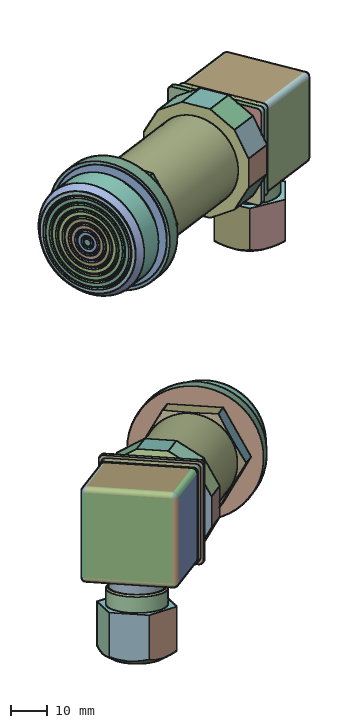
import cadquery as cq
import math

total_length = 98.0

lip_length = 0.3
lip_diameter = 30.1
body_start = 2.2
body_end = 9.9
body_diameter = 33.2
neck_end = 11.9
neck_diameter = 29.5
flange_end = 16.1
flange_diameter = 38.0
seal_diameter = 36.0
seal_depth = 0.2

groove_count = 7
groove_width = 0.9
groove_depth = 0.3
first_groove_radius = 1.1
last_groove_radius = 13.0
groove_pitch = (last_groove_radius - first_groove_radius) / (groove_count - 1)

hex_end = 22.6
hex_across_flats = 26.95
hex_end_diameter = 26.8
hex_chamfer_angle = 15.0

tube_diameter = 26.5
nut_start = 58.9
nut_end = 68.9
nut_across_flats = 32.9
nut_sides = 12

gasket_end = 70.7
gasket_side = 29.2
gasket_corner = 1.3
base_end = 73.9
base_side = 27.7
housing_side = 27.1
housing_corner = 1.5

gland_y = 88.0
gland_neck_diameter = 15.5
gland_collar_diameter = 17.0
gland_collar_top = -16.6
gland_collar_chamfer = 0.5
gland_nut_top = -21.6
gland_nut_bottom = -36.5
gland_nut_across_flats = 19.3
gland_nut_end_diameter = 14.1
gland_nut_chamfer_angle = 30.0


def corner_diameter(across_flats, sides):
    """Diameter of the circle through the corners of a regular polygon."""
    return across_flats / math.cos(math.pi / sides)


def section_plane(y):
    """Plane across the sensor axis: local x is X, local y is Z, extrusion runs to +Y."""
    return cq.Workplane(cq.Plane(origin=(0, y, 0), xDir=(-1, 0, 0), normal=(0, 1, 0)))


def disc(start, end, diameter):
    return section_plane(start).circle(diameter / 2).extrude(end - start)


def square_plate(start, end, side, corner):
    return section_plane(start).rect(side, side).extrude(end - start).edges("|Y").fillet(corner)


def chamfered_hexagon(base, length, across_flats, end_diameter, angle):
    """Hexagon with its far end turned to a cone; two of its corners lie on local x."""
    corner_radius = corner_diameter(across_flats, 6) / 2
    cone_length = (corner_radius - end_diameter / 2) * math.tan(math.radians(angle))
    blank = base.polygon(6, 2 * corner_radius).extrude(length)
    shank = base.circle(corner_radius).extrude(length - cone_length)
    cone = base.workplane(offset=length).circle(end_diameter / 2).extrude(-cone_length, taper=angle - 90)
    return blank.intersect(shank.union(cone))


def sensor_head():
    """Turned diaphragm body, neck and flange with a shallow seal seat, as one revolved outline."""
    seat_floor = neck_end + seal_depth
    return (
        cq.Workplane("XY")
        .moveTo(0, 0)
        .lineTo(lip_diameter / 2, 0)
        .lineTo(lip_diameter / 2, lip_length)
        .lineTo(body_diameter / 2, body_start)
        .lineTo(body_diameter / 2, body_end)
        .lineTo(neck_diameter / 2, body_end)
        .lineTo(neck_diameter / 2, seat_floor)
        .lineTo(seal_diameter / 2, seat_floor)
        .lineTo(seal_diameter / 2, neck_end)
        .lineTo(flange_diameter / 2, neck_end)
        .lineTo(flange_diameter / 2, flange_end)
        .lineTo(0, flange_end)
        .close()
        .revolve(360, (0, 0, 0), (0, 1, 0))
    )


def diaphragm_groove(inner_radius):
    """Ring-shaped cutter with a V section, open at the diaphragm face."""
    return (
        cq.Workplane("XY")
        .moveTo(inner_radius, 0)
        .lineTo(inner_radius + groove_width / 2, groove_depth)
        .lineTo(inner_radius + groove_width, 0)
        .close()
        .revolve(360, (0, 0, 0), (0, 1, 0))
    )


def sensor_hexagon():
    """Hexagon behind the flange, chamfered where it meets the tube."""
    return chamfered_hexagon(
        section_plane(flange_end),
        hex_end - flange_end,
        hex_across_flats,
        hex_end_diameter,
        hex_chamfer_angle,
    )


def union_nut():
    """Twelve-sided nut turned half a side so that flats face X and Z."""
    nut = section_plane(nut_start).polygon(nut_sides, corner_diameter(nut_across_flats, nut_sides))
    half_side_angle = 180 / nut_sides
    return nut.extrude(nut_end - nut_start).rotate((0, 0, 0), (0, 1, 0), half_side_angle)


def connector():
    gasket = square_plate(nut_end, gasket_end, gasket_side, gasket_corner)
    base = square_plate(gasket_end, base_end, base_side, housing_corner)
    housing = square_plate(base_end, total_length, housing_side, housing_corner)
    housing = housing.faces(">Y").edges().fillet(housing_corner)
    return gasket.union(base).union(housing)


def cable_gland():
    """Stepped stem and chamfered hexagon, built downwards from the sensor axis."""

    def below(z):
        return cq.Workplane(cq.Plane(origin=(0, gland_y, z), xDir=(1, 0, 0), normal=(0, 0, -1)))

    neck = below(0).circle(gland_neck_diameter / 2).extrude(-gland_collar_top)
    collar = below(gland_collar_top).circle(gland_collar_diameter / 2).extrude(gland_collar_top - gland_nut_top)
    collar = collar.faces(">Z").chamfer(gland_collar_chamfer)
    nut = chamfered_hexagon(
        below(gland_nut_top),
        gland_nut_top - gland_nut_bottom,
        gland_nut_across_flats,
        gland_nut_end_diameter,
        gland_nut_chamfer_angle,
    )
    return neck.union(collar).union(nut)


result = sensor_head().union(sensor_hexagon()).union(disc(hex_end, nut_start, tube_diameter))
result = result.union(union_nut()).union(connector()).union(cable_gland())
for index in range(groove_count):
    result = result.cut(diaphragm_groove(first_groove_radius + index * groove_pitch))